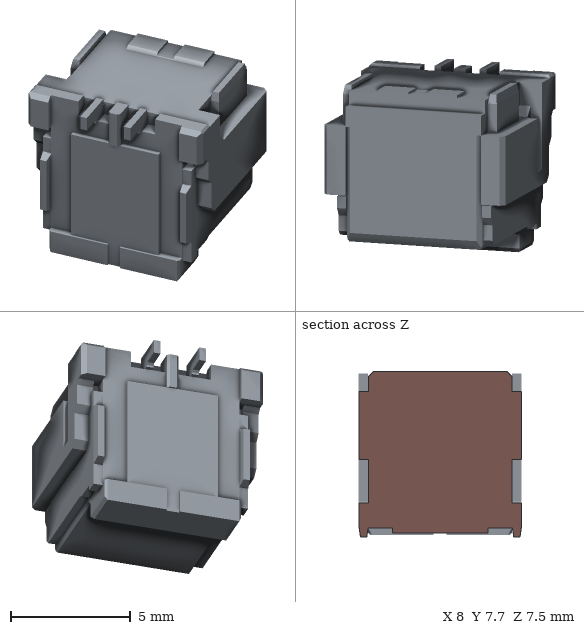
import cadquery as cq

BODY_HALF = 3.0
WING_HALF = 4.0
REAR_Y = 6.85
PIN_TIP_Y = -0.85
CONTACT_TOP_Z = 7.5

BODY_BOTTOM_Z = 1.0
BODY_TOP_Z = 7.32
PANEL_Y = 0.3
REAR_STEP_Y = 6.35
REAR_STEP_Z = 6.75
EDGE_CUT = 0.2
SMALL_CUT = 0.1
REAR_BEVEL_HEIGHT = 0.4

STRIP_TOP_Z = 7.45
STRIP_REAR_Y = 0.92
POCKET_HALF = 1.76
POCKET_FLOOR_Z = 6.72
RIB_HALF = 0.26

SHELF_Z = 5.9
WING_BOTTOM_Z = 2.97
WING_FRONT_Y = 1.94
WING_RAMP = 0.4
SLOT_OUTER_X = 3.3
SLOT_REAR_Y = 0.94

WING_LOWER_EDGE_Y = 1.34
WING_MIDDLE_Y = 1.04
WING_UPPER_Y = 0.74
WING_MIDDLE_LOW_Z = 3.27
WING_MIDDLE_HIGH_Z = 4.5
WING_UPPER_LOW_Z = 4.8

NOTCH_INNER_X = -3.49
NOTCH_REAR_Y = 2.55
NOTCH_FLOOR_Z = 3.64

FOOT_TOP_Z = 1.0
PAD_GAP_HALF = 0.28
PLATE_Y = 0.1
PLATE_HALF = 2.0

SHIELD_OUTER_X = 3.4
SHIELD_FRONT_Y = 0.34
SHIELD_TOP_Z = 5.31
SHIELD_GAP_Z = 2.91
SHIELD_GAP_FRONT_Y = 1.4
SHIELD_LEG_Y = 0.94
SHIELD_LEG_Z = 0.86
SHIELD_LEDGE_Z = 1.1
SHIELD_BOTTOM_Z = 1.2
SHIELD_LOW_REAR_Y = 6.55
SHIELD_LOW_REAR_Z = 2.06
SHIELD_REAR_Y = 6.75
SHIELD_REAR_Z = 2.4
SPRING_TAPER = 0.06
TOP_SPRING_REAR_Y = 6.01
TOP_SPRING_FRONT_Y = 3.16
TOP_SPRING_CLEARANCE = 0.06
TOP_SPRING_BEVEL = 0.12
TOP_SPRING_BEND_Z = 7.12
FRONT_SPRING_LOW_Z = 1.82
FRONT_SPRING_HIGH_Z = 4.6
FRONT_SPRING_BEVEL = 0.18
FRONT_SPRING_TIP_Y = -0.07

LUG_HALF = 1.76
LUG_FRONT_Y = 5.17
LUG_SLOPE = 0.18
LUG_GROOVE_HALF = 0.385
LUG_GROOVE_Z = 7.35

PIN_X = 1.0
PIN_WIDTH = 0.3
PIN_HEIGHT = 0.6
PIN_REAR_Y = 0.82
PIN_ROOT_TOP_Z = 7.2
PIN_ROOT_Y = 0.0
PIN_ROOT_DROP = 0.09


def box(x0, x1, y0, y1, z0, z1):
    """Box between opposite corners."""
    return cq.Workplane("XY").box(x1 - x0, y1 - y0, z1 - z0, centered=False).translate((x0, y0, z0))


def side_profile(points, x0, x1):
    """Extrude a (Y, Z) outline from x0 to x1."""
    return cq.Workplane("YZ", origin=(x0, 0, 0)).polyline(points).close().extrude(x1 - x0)


def plan_profile(points, z0, z1):
    """Extrude an (X, Y) outline from z0 to z1."""
    return cq.Workplane("XY", origin=(0, 0, z0)).polyline(points).close().extrude(z1 - z0)


def front_profile(points, y0, y1):
    """Extrude an (X, Z) outline from y0 to y1."""
    return cq.Workplane("XZ", origin=(0, y0, 0)).polyline(points).close().extrude(y0 - y1)


def both_sides(shape):
    """The shape together with its mirror image across X = 0."""
    return shape.union(shape.mirror("YZ"))


def make_housing():
    upper = side_profile(
        [
            (PANEL_Y, SHELF_Z),
            (REAR_Y, SHELF_Z),
            (REAR_Y, REAR_STEP_Z),
            (REAR_STEP_Y, REAR_STEP_Z),
            (REAR_STEP_Y, BODY_TOP_Z),
            (PANEL_Y, BODY_TOP_Z),
        ],
        -BODY_HALF, BODY_HALF,
    )
    lower = side_profile(
        [
            (PANEL_Y, BODY_BOTTOM_Z),
            (REAR_Y - EDGE_CUT, BODY_BOTTOM_Z),
            (REAR_Y, BODY_BOTTOM_Z + REAR_BEVEL_HEIGHT),
            (REAR_Y, SHELF_Z),
            (PANEL_Y, SHELF_Z),
        ],
        -BODY_HALF, BODY_HALF,
    )
    lower_plan = plan_profile(
        [
            (-BODY_HALF, PANEL_Y),
            (BODY_HALF, PANEL_Y),
            (BODY_HALF, REAR_Y - EDGE_CUT),
            (BODY_HALF - EDGE_CUT, REAR_Y),
            (EDGE_CUT - BODY_HALF, REAR_Y),
            (-BODY_HALF, REAR_Y - EDGE_CUT),
        ],
        BODY_BOTTOM_Z, SHELF_Z,
    )
    lower_section = front_profile(
        [
            (SMALL_CUT - BODY_HALF, BODY_BOTTOM_Z),
            (BODY_HALF - SMALL_CUT, BODY_BOTTOM_Z),
            (BODY_HALF, BODY_BOTTOM_Z + EDGE_CUT),
            (BODY_HALF, SHELF_Z),
            (-BODY_HALF, SHELF_Z),
            (-BODY_HALF, BODY_BOTTOM_Z + EDGE_CUT),
        ],
        PANEL_Y, REAR_Y,
    )
    return upper.union(lower.intersect(lower_plan).intersect(lower_section))


def make_wings():
    wing = side_profile(
        [
            (REAR_Y, WING_BOTTOM_Z),
            (WING_LOWER_EDGE_Y, WING_BOTTOM_Z),
            (WING_MIDDLE_Y, WING_MIDDLE_LOW_Z),
            (WING_MIDDLE_Y, WING_MIDDLE_HIGH_Z),
            (WING_UPPER_Y, WING_UPPER_LOW_Z),
            (WING_UPPER_Y, SHELF_Z - EDGE_CUT),
            (WING_UPPER_Y - EDGE_CUT, SHELF_Z),
            (0, SHELF_Z),
            (0, BODY_TOP_Z),
            (WING_FRONT_Y, BODY_TOP_Z),
            (WING_FRONT_Y, SHELF_Z + WING_RAMP),
            (WING_FRONT_Y + WING_RAMP, SHELF_Z),
            (REAR_Y, SHELF_Z),
        ],
        BODY_HALF, WING_HALF,
    )
    shield_slot = box(BODY_HALF, SLOT_OUTER_X, 0, SLOT_REAR_Y, SHIELD_TOP_Z, SHELF_Z)
    spring_slot = box(
        BODY_HALF, SLOT_OUTER_X,
        TOP_SPRING_FRONT_Y, TOP_SPRING_REAR_Y + TOP_SPRING_CLEARANCE,
        WING_BOTTOM_Z, SHELF_Z,
    )
    wing = wing.edges("|Z and >X").edges(">Y or <Y").chamfer(EDGE_CUT)
    return both_sides(wing.cut(shield_slot).cut(spring_slot))


def make_strip():
    strip = plan_profile(
        [
            (BODY_HALF, 0),
            (WING_HALF - EDGE_CUT, 0),
            (WING_HALF, EDGE_CUT),
            (WING_HALF, STRIP_REAR_Y),
            (0, STRIP_REAR_Y),
            (0, PANEL_Y),
            (BODY_HALF, PANEL_Y),
        ],
        POCKET_FLOOR_Z, STRIP_TOP_Z,
    )
    return both_sides(strip)


def cut_strip_edges(body):
    front = side_profile(
        [(0, STRIP_TOP_Z - EDGE_CUT), (0, STRIP_TOP_Z), (EDGE_CUT, STRIP_TOP_Z)], BODY_HALF, WING_HALF
    )
    rear = side_profile(
        [
            (STRIP_REAR_Y, STRIP_TOP_Z - SMALL_CUT),
            (STRIP_REAR_Y, STRIP_TOP_Z),
            (STRIP_REAR_Y - SMALL_CUT, STRIP_TOP_Z),
        ],
        POCKET_HALF, WING_HALF,
    )
    side = front_profile(
        [
            (WING_HALF, STRIP_TOP_Z - SMALL_CUT),
            (WING_HALF, STRIP_TOP_Z),
            (WING_HALF - SMALL_CUT, STRIP_TOP_Z),
        ],
        0, STRIP_REAR_Y,
    )
    return body.cut(both_sides(front.union(rear).union(side)))


def make_pocket():
    return box(-POCKET_HALF, POCKET_HALF, PANEL_Y, STRIP_REAR_Y, POCKET_FLOOR_Z, STRIP_TOP_Z)


def make_rib():
    rib = box(-RIB_HALF, RIB_HALF, 0, STRIP_REAR_Y, SHELF_Z, STRIP_TOP_Z)
    return rib.edges("|Z and <Y").chamfer(SMALL_CUT)


def make_notch():
    return plan_profile(
        [
            (-WING_HALF, WING_FRONT_Y),
            (NOTCH_INNER_X, WING_FRONT_Y),
            (NOTCH_INNER_X, NOTCH_REAR_Y - EDGE_CUT),
            (NOTCH_INNER_X - EDGE_CUT, NOTCH_REAR_Y),
            (-WING_HALF, NOTCH_REAR_Y),
        ],
        NOTCH_FLOOR_Z, BODY_TOP_Z,
    )


def make_foot():
    side = side_profile(
        [
            (0, 0),
            (WING_FRONT_Y - EDGE_CUT, 0),
            (WING_FRONT_Y, EDGE_CUT),
            (WING_FRONT_Y, BODY_BOTTOM_Z - EDGE_CUT),
            (WING_FRONT_Y + 2 * EDGE_CUT, BODY_BOTTOM_Z + EDGE_CUT),
            (PANEL_Y, BODY_BOTTOM_Z + EDGE_CUT),
            (PANEL_Y, FOOT_TOP_Z),
            (0, FOOT_TOP_Z),
        ],
        -BODY_HALF, BODY_HALF,
    )
    section = front_profile(
        [
            (SMALL_CUT - BODY_HALF, 0),
            (BODY_HALF - SMALL_CUT, 0),
            (BODY_HALF, EDGE_CUT),
            (BODY_HALF, BODY_BOTTOM_Z + EDGE_CUT),
            (-BODY_HALF, BODY_BOTTOM_Z + EDGE_CUT),
            (-BODY_HALF, EDGE_CUT),
        ],
        0, WING_FRONT_Y + 2 * EDGE_CUT,
    )
    corner = plan_profile(
        [(BODY_HALF - SMALL_CUT, 0), (BODY_HALF, 0), (BODY_HALF, SMALL_CUT)], 0, FOOT_TOP_Z
    )
    gap = box(-PAD_GAP_HALF, PAD_GAP_HALF, 0, PLATE_Y, 0, FOOT_TOP_Z)
    return side.intersect(section).cut(both_sides(corner)).cut(gap)


def make_front_plate():
    return box(-PLATE_HALF, PLATE_HALF, PLATE_Y, PANEL_Y, FOOT_TOP_Z, SHELF_Z)


def make_shield():
    return side_profile(
        [
            (SHIELD_FRONT_Y, SHIELD_LEG_Z),
            (SHIELD_LEG_Y, SHIELD_LEG_Z),
            (SHIELD_LEG_Y, SHIELD_LEDGE_Z),
            (WING_FRONT_Y, SHIELD_LEDGE_Z),
            (WING_FRONT_Y + EDGE_CUT, SHIELD_BOTTOM_Z),
            (SHIELD_LOW_REAR_Y - EDGE_CUT, SHIELD_BOTTOM_Z),
            (SHIELD_LOW_REAR_Y, SHIELD_BOTTOM_Z + EDGE_CUT),
            (SHIELD_LOW_REAR_Y, SHIELD_LOW_REAR_Z),
            (SHIELD_REAR_Y, SHIELD_REAR_Z),
            (SHIELD_REAR_Y, SHIELD_GAP_Z),
            (SHIELD_GAP_FRONT_Y, SHIELD_GAP_Z),
            (WING_MIDDLE_Y, WING_MIDDLE_LOW_Z),
            (WING_MIDDLE_Y, WING_MIDDLE_HIGH_Z),
            (WING_UPPER_Y, WING_UPPER_LOW_Z),
            (WING_UPPER_Y, SHIELD_TOP_Z),
            (SHIELD_FRONT_Y, SHIELD_TOP_Z),
        ],
        BODY_HALF, SHIELD_OUTER_X,
    )


def make_front_spring():
    """Tapered spring standing forward from the shield's front edge."""
    side = side_profile(
        [
            (SHIELD_FRONT_Y, FRONT_SPRING_LOW_Z),
            (SHIELD_FRONT_Y, FRONT_SPRING_HIGH_Z),
            (FRONT_SPRING_TIP_Y, FRONT_SPRING_HIGH_Z - FRONT_SPRING_BEVEL),
            (FRONT_SPRING_TIP_Y, FRONT_SPRING_LOW_Z + FRONT_SPRING_BEVEL),
        ],
        BODY_HALF, SHIELD_OUTER_X,
    )
    plan = plan_profile(
        [
            (BODY_HALF, SHIELD_FRONT_Y),
            (SHIELD_OUTER_X, SHIELD_FRONT_Y),
            (SHIELD_OUTER_X - SPRING_TAPER, FRONT_SPRING_TIP_Y),
            (BODY_HALF + SPRING_TAPER, FRONT_SPRING_TIP_Y),
        ],
        FRONT_SPRING_LOW_Z, FRONT_SPRING_HIGH_Z,
    )
    return side.intersect(plan)


def make_top_spring():
    """Spring rising from the shield through the wing, tapered at its tip."""
    side = side_profile(
        [
            (TOP_SPRING_FRONT_Y, SHIELD_GAP_Z),
            (TOP_SPRING_REAR_Y, SHIELD_GAP_Z),
            (TOP_SPRING_REAR_Y, TOP_SPRING_BEND_Z),
            (TOP_SPRING_REAR_Y - TOP_SPRING_BEVEL, CONTACT_TOP_Z),
            (TOP_SPRING_FRONT_Y + TOP_SPRING_BEVEL, CONTACT_TOP_Z),
            (TOP_SPRING_FRONT_Y, TOP_SPRING_BEND_Z),
        ],
        BODY_HALF, SHIELD_OUTER_X,
    )
    section = front_profile(
        [
            (BODY_HALF, SHIELD_GAP_Z),
            (SHIELD_OUTER_X, SHIELD_GAP_Z),
            (SHIELD_OUTER_X, TOP_SPRING_BEND_Z),
            (SHIELD_OUTER_X - SPRING_TAPER, CONTACT_TOP_Z),
            (BODY_HALF + SPRING_TAPER, CONTACT_TOP_Z),
            (BODY_HALF, TOP_SPRING_BEND_Z),
        ],
        TOP_SPRING_FRONT_Y, TOP_SPRING_REAR_Y,
    )
    return side.intersect(section)


def make_lugs():
    lugs = side_profile(
        [
            (LUG_FRONT_Y, BODY_TOP_Z),
            (REAR_STEP_Y, BODY_TOP_Z),
            (REAR_STEP_Y, STRIP_TOP_Z),
            (LUG_FRONT_Y + LUG_SLOPE, STRIP_TOP_Z),
        ],
        -LUG_HALF, LUG_HALF,
    )
    groove = box(
        -LUG_GROOVE_HALF, LUG_GROOVE_HALF, LUG_FRONT_Y, REAR_STEP_Y, LUG_GROOVE_Z, STRIP_TOP_Z
    )
    return lugs.cut(groove)


def make_pins():
    bottom_z = CONTACT_TOP_Z - PIN_HEIGHT
    pin = side_profile(
        [
            (PIN_TIP_Y, bottom_z),
            (PIN_TIP_Y, CONTACT_TOP_Z),
            (PIN_REAR_Y, CONTACT_TOP_Z),
            (PIN_REAR_Y, PIN_ROOT_TOP_Z),
            (STRIP_REAR_Y, PIN_ROOT_TOP_Z),
            (STRIP_REAR_Y, POCKET_FLOOR_Z),
            (PIN_ROOT_Y + PIN_ROOT_DROP, POCKET_FLOOR_Z),
            (PIN_ROOT_Y + PIN_ROOT_DROP, bottom_z - PIN_ROOT_DROP),
            (PIN_ROOT_Y, bottom_z),
        ],
        PIN_X - PIN_WIDTH / 2, PIN_X + PIN_WIDTH / 2,
    )
    return both_sides(pin)


housing = make_housing().union(make_wings()).union(make_strip())
housing = cut_strip_edges(housing).cut(make_pocket()).cut(make_notch())
housing = housing.union(make_foot()).union(make_front_plate()).union(make_lugs()).union(make_rib())
shields = both_sides(make_shield().union(make_front_spring()).union(make_top_spring()))
result = housing.union(shields).union(make_pins())